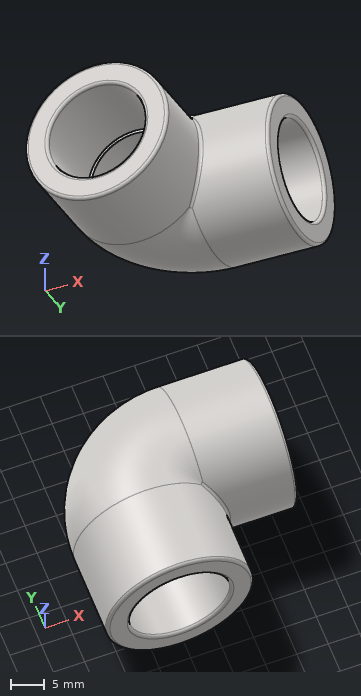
import cadquery as cq
import math

outer_diameter = 23.5
socket_diameter = 16.0
bore_diameter = 15.0
centre_to_face = 23.0
leg_length = 14.0
socket_depth = leg_length
rim_fillet = 0.5
mouth_fillet = 0.5
crotch_fillet = 0.5
crotch_overlap = 1.5

outer_radius = outer_diameter / 2
bend_radius = centre_to_face - leg_length

x_face = cq.Plane(origin=(centre_to_face, 0, 0), xDir=(0, 1, 0), normal=(1, 0, 0))
y_face = cq.Plane(origin=(0, -centre_to_face, 0), xDir=(1, 0, 0), normal=(0, -1, 0))


def two_legs(diameter, length):
    """Cylinders running inward from both open ends."""
    x_leg = cq.Workplane(x_face).circle(diameter / 2).extrude(-length)
    y_leg = cq.Workplane(y_face).circle(diameter / 2).extrude(-length)
    return x_leg.union(y_leg)


def quarter_turn(radius):
    """Bend of a round section; a section wider than the bend radius stops at the bend axis."""
    bend_start = cq.Workplane("XZ", origin=(0, -bend_radius, 0))
    if radius > bend_radius:
        half_chord = math.sqrt(radius**2 - bend_radius**2)
        section = (
            bend_start.moveTo(bend_radius, half_chord)
            .threePointArc((-radius, 0), (bend_radius, -half_chord))
            .close()
        )
    else:
        section = bend_start.circle(radius)
    return section.revolve(90, (bend_radius, 0), (bend_radius, -1))


def crotch():
    """Inner corner where the two legs meet, rounded along their elliptical joint."""
    corner_start = bend_radius - crotch_overlap
    corner_plane = cq.Plane(origin=(corner_start, -corner_start, 0), xDir=(0, 0, 1), normal=(1, -1, 0))
    block_size = 4 * centre_to_face
    corner_block = cq.Workplane(corner_plane).rect(block_size, block_size).extrude(block_size)
    corner = two_legs(outer_diameter, centre_to_face).intersect(corner_block)

    beyond_cut = cq.selectors.BoxSelector(
        (corner_start + crotch_fillet, -centre_to_face, -outer_diameter),
        (centre_to_face, -corner_start - crotch_fillet, outer_diameter),
    )
    joint = corner.edges("%ELLIPSE").edges(beyond_cut)
    return joint.fillet(crotch_fillet)


def outer_body():
    """Bend and legs with a rounded crotch and rounded end rims."""
    body = quarter_turn(outer_radius).union(two_legs(outer_diameter, leg_length)).union(crotch())
    return body.faces(">X or <Y").edges().fillet(rim_fillet)


def passage():
    """Sockets from both ends, joined by a narrower curved bore."""
    return quarter_turn(bore_diameter / 2).union(two_legs(socket_diameter, socket_depth))


elbow = outer_body().cut(passage())
socket_mouths = elbow.faces(">X or <Y").edges(cq.selectors.RadiusNthSelector(0))
result = socket_mouths.fillet(mouth_fillet)